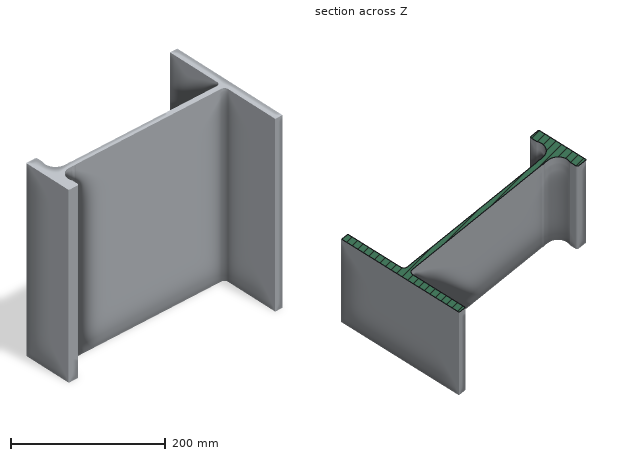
import cadquery as cq
import math

length = 304.8
depth = 319.09
flange_width = 203.2

flange_thickness = 12.7
web_thickness = 8.6
flange_fillet = 6.35

rail_width = 82.55
rail_height = 18.0
rail_top_corner_radius = 2.8
rail_bottom_corner_radius = 1.6
groove_radius = 17.46
groove_top_height = 34.0

stem_top_height = 39.3
stem_taper = 3.0
bead_crest_height = 42.3
bead_top_height = 45.7
bead_bulge = 0.5

rail_base_y = -depth / 2
flange_outer_y = depth / 2
flange_inner_y = flange_outer_y - flange_thickness
half_flange = flange_width / 2
half_web = web_thickness / 2
half_rail = rail_width / 2
rail_top_y = rail_base_y + rail_height
stem_top_y = rail_base_y + stem_top_height
bead_crest_y = rail_base_y + bead_crest_height
bead_top_y = rail_base_y + bead_top_height

groove_center_y = rail_base_y + groove_top_height
stem_flare = (stem_top_height - groove_top_height) * math.tan(math.radians(stem_taper))
half_stem_base = half_web + stem_flare
groove_center_x = half_stem_base + groove_radius
groove_bottom_y = groove_center_y - groove_radius
groove_end_x = groove_center_x + math.sqrt(groove_radius**2 - (groove_center_y - rail_top_y) ** 2)


def arc_middle(center_x, center_y, radius, angle):
    """Point on a circle at an angle in degrees from +X."""
    turn = math.radians(angle)
    return (center_x + radius * math.cos(turn), center_y + radius * math.sin(turn))


def bead_arc_middle(end_y):
    """Middle of the bead arc from the web face at end_y to the crest, where it runs along Y."""
    rise = bead_crest_y - end_y
    radius = (rise**2 + bead_bulge**2) / (2 * bead_bulge)
    half_angle = math.asin(rise / radius) / 2
    center_x = half_web + bead_bulge - radius
    return (
        center_x + radius * math.cos(half_angle),
        bead_crest_y - radius * math.sin(half_angle),
    )


def half_section():
    """Right half of the section (X >= 0), from the rail base up to the upper flange."""
    bottom_corner = arc_middle(
        half_rail - rail_bottom_corner_radius,
        rail_base_y + rail_bottom_corner_radius,
        rail_bottom_corner_radius,
        -45,
    )
    top_corner = arc_middle(
        half_rail - rail_top_corner_radius,
        rail_top_y - rail_top_corner_radius,
        rail_top_corner_radius,
        45,
    )
    fillet_middle = arc_middle(
        half_web + flange_fillet,
        flange_inner_y - flange_fillet,
        flange_fillet,
        135,
    )
    return (
        cq.Workplane("XY")
        .moveTo(0, rail_base_y)
        .lineTo(half_rail - rail_bottom_corner_radius, rail_base_y)
        .threePointArc(bottom_corner, (half_rail, rail_base_y + rail_bottom_corner_radius))
        .lineTo(half_rail, rail_top_y - rail_top_corner_radius)
        .threePointArc(top_corner, (half_rail - rail_top_corner_radius, rail_top_y))
        .lineTo(groove_end_x, rail_top_y)
        .threePointArc((groove_center_x, groove_bottom_y), (half_stem_base, groove_center_y))
        .lineTo(half_web, stem_top_y)
        .threePointArc(bead_arc_middle(stem_top_y), (half_web + bead_bulge, bead_crest_y))
        .threePointArc(bead_arc_middle(bead_top_y), (half_web, bead_top_y))
        .lineTo(half_web, flange_inner_y - flange_fillet)
        .threePointArc(fillet_middle, (half_web + flange_fillet, flange_inner_y))
        .lineTo(half_flange, flange_inner_y)
        .lineTo(half_flange, flange_outer_y)
        .lineTo(0, flange_outer_y)
        .close()
    )


right_half = half_section().extrude(length)
left_half = right_half.mirror("YZ")
result = right_half.union(left_half)